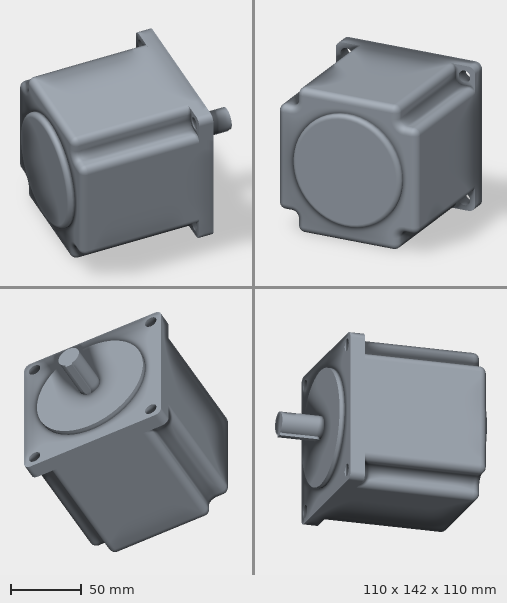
import cadquery as cq

side = 110.0
overall_length = 142.0
edge_radius = 5.0

pilot_height = 4.0
body_length = 102.0
rear_cap_height = 5.0
flange_thickness = 11.0
shaft_tip = overall_length - body_length - rear_cap_height

notch_size = 15.0
hole_diameter = 9.1
hole_offset = 46.7

round_diameter = 85.2
rear_cap_offset_x = 1.5
rear_cap_offset_z = 0.7
rear_cap_radius = 3.0

shaft_diameter = 16.5
key_width = 5.0
key_protrusion = 1.5
key_clearance = 1.0


def cylinder(diameter, y_start, y_end, x=0.0, z=0.0):
    """Solid cylinder parallel to Y between two Y positions."""
    axis_plane = cq.Workplane("XZ", origin=(x, y_start, z))
    return axis_plane.circle(diameter / 2).extrude(y_start - y_end)


def square_prism(width, y_start, y_end):
    """Square block centred on the motor axis."""
    return cq.Workplane("XZ", origin=(0, y_start, 0)).rect(width, width).extrude(y_start - y_end)


def corner_points(offset):
    return [(x, z) for x in (-offset, offset) for z in (-offset, offset)]


def make_flange():
    flange = square_prism(side, -flange_thickness, 0).edges("|Y").fillet(edge_radius)
    holes = (
        cq.Workplane("XZ")
        .pushPoints(corner_points(hole_offset))
        .circle(hole_diameter / 2)
        .extrude(flange_thickness)
    )
    return flange.cut(holes)


def make_housing():
    """Body with notched corners, all long edges and the rear rim rounded."""
    housing = square_prism(side, -body_length, -flange_thickness)
    notches = (
        cq.Workplane("XZ", origin=(0, -flange_thickness, 0))
        .pushPoints(corner_points(side / 2))
        .rect(2 * notch_size, 2 * notch_size)
        .extrude(body_length - flange_thickness)
    )
    housing = housing.cut(notches).edges("|Y").fillet(edge_radius)
    return housing.faces("<Y").edges().fillet(edge_radius)


def make_rear_cap():
    cap = cylinder(
        round_diameter,
        -body_length - rear_cap_height,
        -body_length,
        rear_cap_offset_x,
        rear_cap_offset_z,
    )
    return cap.faces("<Y").edges().fillet(rear_cap_radius)


def make_shaft():
    """Shaft with a key on its -Z side, rounded at the pilot end and flush at the tip."""
    shaft = cylinder(shaft_diameter, 0, shaft_tip)
    key_round_y = pilot_height + key_clearance + key_width / 2
    key_depth = shaft_diameter / 2 + key_protrusion
    key = (
        cq.Workplane("XY")
        .moveTo(-key_width / 2, shaft_tip)
        .lineTo(-key_width / 2, key_round_y)
        .threePointArc((0, key_round_y - key_width / 2), (key_width / 2, key_round_y))
        .lineTo(key_width / 2, shaft_tip)
        .close()
        .extrude(-key_depth)
    )
    return shaft.union(key)


pilot = cylinder(round_diameter, 0, pilot_height)

result = (
    make_flange()
    .union(make_housing())
    .union(make_rear_cap())
    .union(pilot)
    .union(make_shaft())
)